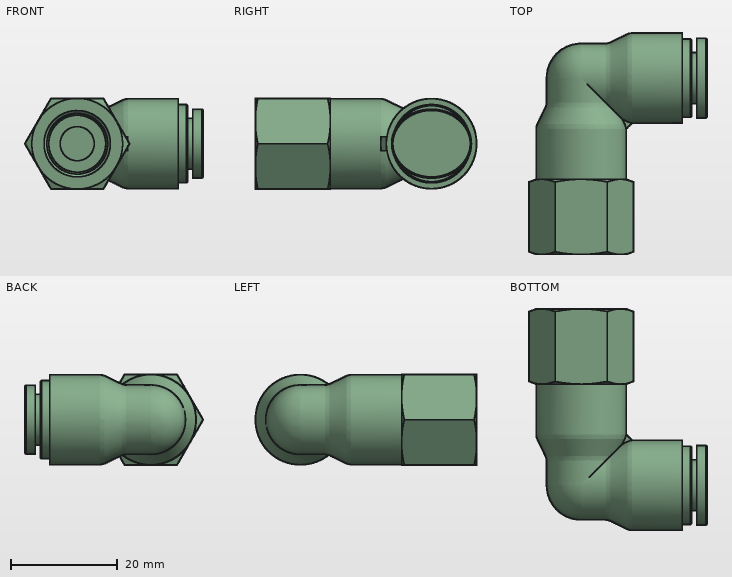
import cadquery as cq
import math


BEND_RADIUS = 6.5
BODY_DIAMETER = 16.9
BODY_RADIUS = BODY_DIAMETER / 2
ARM_LENGTH = 18.95
CONE_START = 5.05
CONE_END = 9.05
CONE_FILLET = 2.0
WEB_THICKNESS = 2.65

HEX_ACROSS_FLATS = 17.0
HEX_ACROSS_CORNERS = HEX_ACROSS_FLATS / math.cos(math.radians(30))
HEX_CHAMFER_DIAMETER = HEX_ACROSS_FLATS
HEX_CHAMFER_HEIGHT = 0.5
OVERALL_LENGTH = 41.45
NUT_END = OVERALL_LENGTH - BODY_RADIUS
NUT_LENGTH = NUT_END - ARM_LENGTH
SOCKET_MOUTH_DIAMETER = 12.45
SOCKET_TOP_DIAMETER = 11.4
SOCKET_FLOOR_DIAMETER = 10.65
SOCKET_DEPTH = 11.6
PASSAGE_DIAMETER = 6.4

SLEEVE_DIAMETER = 14.7
SLEEVE_LENGTH = 1.75
EDGE_CHAMFER = 0.25

NECK_DIAMETER = 9.6
BUTTON_GAP = 0.9
BUTTON_LENGTH = 2.0
BUTTON_WIDTH = 14.95
BUTTON_HEIGHT = 12.95


def make_arm():
    """Revolve one elbow arm about the X axis: neck, filleted cone, then body cylinder."""
    arm = (
        cq.Workplane("XY")
        .moveTo(0, 0)
        .lineTo(0, BEND_RADIUS)
        .lineTo(CONE_START, BEND_RADIUS)
        .lineTo(CONE_END, BODY_RADIUS)
        .lineTo(ARM_LENGTH, BODY_RADIUS)
        .lineTo(ARM_LENGTH, 0)
        .close()
        .revolve(360, (0, 0, 0), (1, 0, 0))
    )
    cone_edges = cq.selectors.BoxSelector(
        (CONE_START - 0.4, -OVERALL_LENGTH, -OVERALL_LENGTH),
        (CONE_END + 0.4, OVERALL_LENGTH, OVERALL_LENGTH),
    )
    return arm.edges("%CIRCLE").edges(cone_edges).fillet(CONE_FILLET)


def make_web():
    """Flat web that fills the inner corner between the two body cylinders."""
    half_angle = math.atan2(BODY_RADIUS - BEND_RADIUS, CONE_END - CONE_START) / 2
    cylinder_start = CONE_END + CONE_FILLET * math.tan(half_angle)
    return (
        cq.Workplane("XY")
        .polyline([(0, 0), (cylinder_start, -BODY_RADIUS), (BODY_RADIUS, -cylinder_start)])
        .close()
        .extrude(WEB_THICKNESS / 2, both=True)
    )


def make_elbow():
    """Two equal arms joined by a spherical outer corner and an inner web."""
    side_arm = make_arm()
    nut_arm = side_arm.rotate((0, 0, 0), (0, 0, 1), -90)
    corner = cq.Workplane("XY").sphere(BEND_RADIUS)
    return side_arm.union(nut_arm).union(corner).union(make_web())


def make_nut():
    """Hex nut on the -Y arm, with both ends chamfered and a tapered socket in its free end."""
    nut_base = cq.Workplane("XZ", origin=(0, -ARM_LENGTH, 0))
    hexagon = nut_base.polygon(6, HEX_ACROSS_CORNERS).extrude(NUT_LENGTH)

    corner_radius = HEX_ACROSS_CORNERS / 2
    end_face_radius = HEX_CHAMFER_DIAMETER / 2
    chamfer_envelope = (
        cq.Workplane("XY")
        .moveTo(0, -ARM_LENGTH)
        .lineTo(end_face_radius, -ARM_LENGTH)
        .lineTo(corner_radius, -ARM_LENGTH - HEX_CHAMFER_HEIGHT)
        .lineTo(corner_radius, -NUT_END + HEX_CHAMFER_HEIGHT)
        .lineTo(end_face_radius, -NUT_END)
        .lineTo(0, -NUT_END)
        .close()
        .revolve(360, (0, 0, 0), (0, 1, 0))
    )

    mouth_depth = (SOCKET_MOUTH_DIAMETER - SOCKET_TOP_DIAMETER) / 2
    floor_y = -NUT_END + SOCKET_DEPTH
    socket = (
        cq.Workplane("XY")
        .moveTo(0, -NUT_END)
        .lineTo(SOCKET_MOUTH_DIAMETER / 2, -NUT_END)
        .lineTo(SOCKET_TOP_DIAMETER / 2, -NUT_END + mouth_depth)
        .lineTo(SOCKET_FLOOR_DIAMETER / 2, floor_y)
        .lineTo(PASSAGE_DIAMETER / 2, floor_y)
        .lineTo(PASSAGE_DIAMETER / 2, -ARM_LENGTH)
        .lineTo(0, -ARM_LENGTH)
        .close()
        .revolve(360, (0, 0, 0), (0, 1, 0))
    )
    return hexagon.intersect(chamfer_envelope).cut(socket)


def make_sleeve():
    """Ring on the end of the +X arm, chamfered outside and bored for the collet neck."""
    return (
        cq.Workplane("YZ", origin=(ARM_LENGTH, 0, 0))
        .circle(SLEEVE_DIAMETER / 2)
        .extrude(SLEEVE_LENGTH)
        .faces(">X")
        .chamfer(EDGE_CHAMFER)
        .faces(">X")
        .workplane()
        .hole(NECK_DIAMETER)
    )


def make_collet():
    """Neck that fills the sleeve bore and carries an oval release button."""
    neck_length = SLEEVE_LENGTH + BUTTON_GAP
    neck = (
        cq.Workplane("YZ", origin=(ARM_LENGTH, 0, 0))
        .circle(NECK_DIAMETER / 2)
        .extrude(neck_length)
    )
    button = (
        cq.Workplane("YZ", origin=(ARM_LENGTH + neck_length, 0, 0))
        .ellipse(BUTTON_WIDTH / 2, BUTTON_HEIGHT / 2)
        .extrude(BUTTON_LENGTH)
        .faces(">X")
        .chamfer(EDGE_CHAMFER)
    )
    return neck.union(button)


elbow = make_elbow()
nut = make_nut()
sleeve = make_sleeve()
collet = make_collet()

result = cq.Compound.makeCompound([
    elbow.solids().val(),
    nut.solids().val(),
    sleeve.solids().val(),
    collet.solids().val(),
])